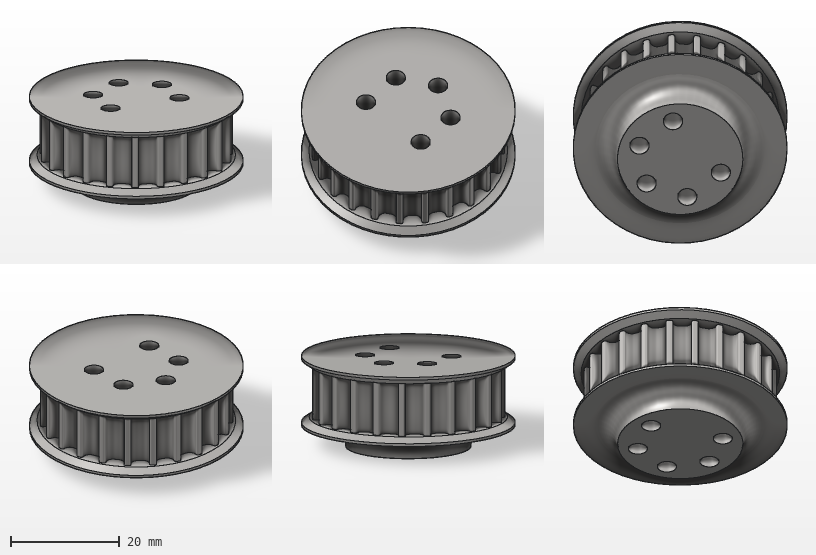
import cadquery as cq
import math

FLANGE_RADIUS = 19.65
HUB_RADIUS = 11.52
HUB_HEIGHT = 4.0
FLANGE_HEIGHT = 1.5
FLANGE_RIM_HEIGHT = 0.5
FLANGE_INNER_RADIUS = 18.25
BELT_WIDTH = 10.0

TOOTH_COUNT = 23
TIP_RADIUS = 17.75
TOOTH_DEPTH = 2.05
TIP_ROUNDING = 0.45
TIP_LAND_WIDTH = 0.45
ROOT_LAND_WIDTH = 0.8
FIRST_TOOTH_ANGLE = math.radians(-90)

HOLE_DIAMETER = 3.5
HOLE_CIRCLE_RADIUS = 8.0
HOLE_STEPS = 6
HOLE_COUNT = 5
FIRST_HOLE_ANGLE = math.radians(41.5)

ROOT_RADIUS = TIP_RADIUS - TOOTH_DEPTH
LOWER_FLANGE_Z = HUB_HEIGHT
BELT_Z = LOWER_FLANGE_Z + FLANGE_HEIGHT
UPPER_FLANGE_Z = BELT_Z + BELT_WIDTH
TOP_Z = UPPER_FLANGE_Z + FLANGE_HEIGHT


def polar(radius, angle):
    return (radius * math.cos(angle), radius * math.sin(angle))


def point_towards(start, target, distance):
    """Point at the given distance from start, on the line to target."""
    ratio = distance / math.dist(start, target)
    return tuple(s + ratio * (t - s) for s, t in zip(start, target))


def midpoint(a, b):
    return ((a[0] + b[0]) / 2, (a[1] + b[1]) / 2)


def make_flanged_body():
    """Hub, both flanges and the core under the teeth, revolved about Z."""
    flare = HUB_HEIGHT
    flare_centre = (HUB_RADIUS + flare, 0)
    flare_end = (HUB_RADIUS + flare, LOWER_FLANGE_Z)
    flare_middle = point_towards(flare_centre, (HUB_RADIUS, LOWER_FLANGE_Z), flare)
    return (
        cq.Workplane("XZ")
        .lineTo(HUB_RADIUS, 0)
        .threePointArc(flare_middle, flare_end)
        .lineTo(FLANGE_RADIUS, LOWER_FLANGE_Z)
        .lineTo(FLANGE_RADIUS, LOWER_FLANGE_Z + FLANGE_RIM_HEIGHT)
        .lineTo(FLANGE_INNER_RADIUS, BELT_Z)
        .lineTo(ROOT_RADIUS, BELT_Z)
        .lineTo(ROOT_RADIUS, UPPER_FLANGE_Z)
        .lineTo(FLANGE_INNER_RADIUS, UPPER_FLANGE_Z)
        .lineTo(FLANGE_RADIUS, TOP_Z - FLANGE_RIM_HEIGHT)
        .lineTo(FLANGE_RADIUS, TOP_Z)
        .lineTo(0, TOP_Z)
        .close()
        .revolve(360, (0, 0, 0), (0, 1, 0))
    )


def make_toothed_ring():
    """Rounded teeth whose hollow flanks run tangent into the root and the tip rounding."""
    half_pitch = math.pi / TOOTH_COUNT
    rounding_centre_radius = TIP_RADIUS - TIP_ROUNDING
    tip_angle = TIP_LAND_WIDTH / 2 / TIP_RADIUS
    root_angle = half_pitch - ROOT_LAND_WIDTH / 2 / ROOT_RADIUS

    projection = rounding_centre_radius * math.cos(root_angle - tip_angle)
    flank_radius = (
        (ROOT_RADIUS**2 + rounding_centre_radius**2 - 2 * ROOT_RADIUS * projection - TIP_ROUNDING**2)
        / (2 * (TIP_ROUNDING + projection - ROOT_RADIUS))
    )

    def flank_points(tooth_angle, side):
        """Points of one tooth side from root to tip; side is -1 or +1."""
        root_direction = tooth_angle + side * root_angle
        tip_direction = tooth_angle + side * tip_angle
        flank_centre = polar(ROOT_RADIUS + flank_radius, root_direction)
        rounding_centre = polar(rounding_centre_radius, tip_direction)
        root = polar(ROOT_RADIUS, root_direction)
        tip = polar(TIP_RADIUS, tip_direction)
        joint = point_towards(flank_centre, rounding_centre, flank_radius)
        flank_middle = point_towards(flank_centre, midpoint(root, joint), flank_radius)
        rounding_middle = point_towards(rounding_centre, midpoint(joint, tip), TIP_ROUNDING)
        return [root, flank_middle, joint, rounding_middle, tip]

    first_root = flank_points(FIRST_TOOTH_ANGLE, -1)[0]
    outline = cq.Workplane("XY", origin=(0, 0, BELT_Z)).moveTo(*first_root)
    for index in range(TOOTH_COUNT):
        tooth_angle = FIRST_TOOTH_ANGLE + 2 * half_pitch * index
        _, flank_up, joint_up, rounding_up, tip_start = flank_points(tooth_angle, -1)
        root_end, flank_down, joint_down, rounding_down, tip_end = flank_points(tooth_angle, 1)
        next_root = flank_points(tooth_angle + 2 * half_pitch, -1)[0]
        outline = (
            outline
            .threePointArc(flank_up, joint_up)
            .threePointArc(rounding_up, tip_start)
            .threePointArc(polar(TIP_RADIUS, tooth_angle), tip_end)
            .threePointArc(rounding_down, joint_down)
            .threePointArc(flank_down, root_end)
            .threePointArc(polar(ROOT_RADIUS, tooth_angle + half_pitch), next_root)
        )
    return outline.close().extrude(BELT_WIDTH)


def make_bolt_holes():
    step = 2 * math.pi / HOLE_STEPS
    centres = [polar(HOLE_CIRCLE_RADIUS, FIRST_HOLE_ANGLE + step * i) for i in range(HOLE_COUNT)]
    return cq.Workplane("XY").pushPoints(centres).circle(HOLE_DIAMETER / 2).extrude(TOP_Z)


result = make_flanged_body().union(make_toothed_ring()).cut(make_bolt_holes())